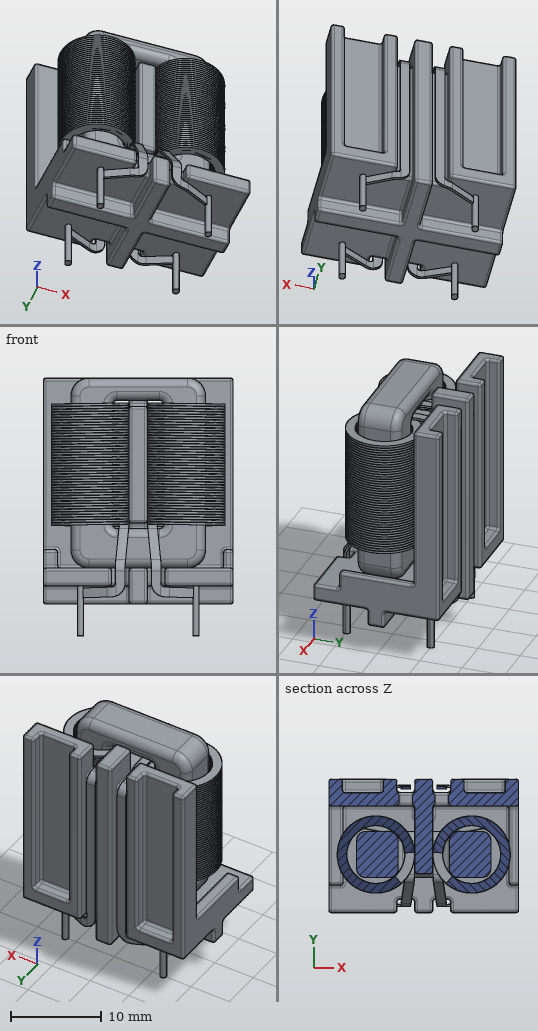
import cadquery as cq
import math


WIDTH = 21.0
DEPTH = 14.8
BODY_HEIGHT = 25.0
EDGE_RADIUS = 0.3

PLATE_BOTTOM = 2.0
PLATE_TOP = 4.0
RIB_WIDTH = 2.0
BACK_WALL_THICKNESS = 3.0
LEFT_WALL_THICKNESS = 1.6
RIGHT_WALL_THICKNESS = 1.05
SIDE_WALL_TOP = 6.0
SIDE_WALL_LENGTH = 11.75
SLOT_OUTER_X = 2.95
NOTCH_DEPTH = 1.48
RECESS_MARGIN = 1.5
WEB_TOP = 21.65
CENTER_BLOCK_DEPTH = 4.4
TONGUE_LENGTH = 10.5
TONGUE_BOTTOM = 8.95
TONGUE_TOP = 21.85

CORE_WIDTH = 14.88
CORE_DEPTH = 5.13
CORE_CORNER_RADIUS = 2.0
CORE_EDGE_RADIUS = 1.0
WINDOW_WIDTH = 5.65
WINDOW_BOTTOM = 8.35
WINDOW_TOP = 22.52
WINDOW_CORNER_RADIUS = 0.48
CORE_CENTER_FROM_BACK = 8.35

COIL_CENTER_X = 5.3
COIL_OUTER_RADIUS = 4.28
WIRE_WIDTH = 1.08
WIRE_THICKNESS = 0.25
TURNS = 45
HELIX_BOTTOM = 8.55
HELIX_RISE = 13.45

LEAD_X = 2.0
LEAD_INSET = 0.8
FRONT_SLOPE_TOP_FROM_BACK = 11.05
FRONT_SLOPE_BOTTOM_Z = 4.3
FRONT_TOP_BEND_RADIUS = 0.9
FRONT_LOW_BEND_RADIUS = 2.1
BACK_BEND_RADIUS = 1.0
BACK_SLANT_START_FROM_BACK = 5.27
BACK_SLANT_END_FROM_BACK = 2.8
ELBOW_RADIUS = 0.97
TAIL_Z = 1.35
TAIL_DROP = 0.1
TAIL_BEND_RADIUS = 2.15

PIN_X = 6.38
PIN_Y = 4.95
PIN_WIDTH = 0.7
PIN_DEPTH = 0.83
PIN_LENGTH_BELOW = 3.5

BACK_Y = DEPTH / 2
FRONT_Y = -DEPTH / 2
CORE_Y = BACK_Y - CORE_CENTER_FROM_BACK
COIL_MID_RADIUS = COIL_OUTER_RADIUS - WIRE_WIDTH / 2
COIL_EXIT_X = COIL_CENTER_X - COIL_MID_RADIUS
LOWER_LEAD_Z = HELIX_BOTTOM + WIRE_THICKNESS / 2
UPPER_LEAD_Z = LOWER_LEAD_Z + HELIX_RISE
ELBOW_TOP_Z = TAIL_Z + ELBOW_RADIUS


def block(x_range, y_range, z_range):
    """Box between the given low and high limits."""
    (x0, x1), (y0, y1), (z0, z1) = x_range, y_range, z_range
    return cq.Workplane("XY").box(x1 - x0, y1 - y0, z1 - z0, centered=False).translate((x0, y0, z0))


def mould_carrier():
    """Plate with cross-shaped foot bars, slotted back wall, side walls and centre tongue."""
    half_width = WIDTH / 2
    half_rib = RIB_WIDTH / 2
    full_x = (-half_width, half_width)
    rib_x = (-half_rib, half_rib)
    full_y = (FRONT_Y, BACK_Y)
    wall_y = (BACK_Y - BACK_WALL_THICKNESS, BACK_Y)

    body = block(full_x, full_y, (PLATE_BOTTOM, PLATE_TOP))
    body = body.union(block(full_x, rib_x, (0, PLATE_BOTTOM)))
    body = body.union(block(rib_x, full_y, (0, PLATE_BOTTOM)))
    body = body.union(block(rib_x, (BACK_Y - CENTER_BLOCK_DEPTH, BACK_Y), (PLATE_TOP, BODY_HEIGHT)))
    body = body.union(block(rib_x, (BACK_Y - TONGUE_LENGTH, BACK_Y), (TONGUE_BOTTOM, TONGUE_TOP)))

    web_y = (BACK_Y - BACK_WALL_THICKNESS, BACK_Y - NOTCH_DEPTH)
    body = body.union(block((-SLOT_OUTER_X, SLOT_OUTER_X), web_y, (PLATE_TOP, WEB_TOP)))

    for side, side_thickness in ((-1, LEFT_WALL_THICKNESS), (1, RIGHT_WALL_THICKNESS)):
        outer_x = side * half_width
        wall_x = sorted((outer_x, side * SLOT_OUTER_X))
        side_wall_x = sorted((outer_x, outer_x - side * side_thickness))
        recess_x = sorted((outer_x - side * RECESS_MARGIN, side * (SLOT_OUTER_X + RECESS_MARGIN)))
        notch_x = sorted((side * half_rib, side * SLOT_OUTER_X))

        body = body.union(block(wall_x, wall_y, (PLATE_TOP, BODY_HEIGHT)))
        body = body.union(block(side_wall_x, (BACK_Y - SIDE_WALL_LENGTH, BACK_Y), (PLATE_TOP, SIDE_WALL_TOP)))
        body = body.cut(block(recess_x, (BACK_Y - RECESS_MARGIN, BACK_Y), (PLATE_TOP, BODY_HEIGHT)))
        for notch_y in ((FRONT_Y, FRONT_Y + NOTCH_DEPTH), (BACK_Y - NOTCH_DEPTH, BACK_Y)):
            body = body.cut(block(notch_x, notch_y, (PLATE_BOTTOM, PLATE_TOP)))

    return body.clean().edges().fillet(EDGE_RADIUS)


def ring_core():
    """Upright rectangular ring with rounded corners and edges, standing on the plate."""
    height = BODY_HEIGHT - PLATE_TOP
    window_height = WINDOW_TOP - WINDOW_BOTTOM
    ring = (
        cq.Workplane("XY")
        .box(CORE_WIDTH, CORE_DEPTH, height)
        .edges("|Y")
        .fillet(CORE_CORNER_RADIUS)
        .translate((0, CORE_Y, PLATE_TOP + height / 2))
    )
    window = (
        cq.Workplane("XY")
        .box(WINDOW_WIDTH, 2 * CORE_DEPTH, window_height)
        .edges("|Y")
        .fillet(WINDOW_CORNER_RADIUS)
        .translate((0, CORE_Y, WINDOW_BOTTOM + window_height / 2))
    )
    return ring.cut(window).faces("<Y or >Y").edges().fillet(CORE_EDGE_RADIUS)


def coil():
    """Edgewise helix of flat wire whose two ends both lie on the side nearest the part's centre."""
    helix = cq.Wire.makeHelix(HELIX_RISE / TURNS, HELIX_RISE, COIL_MID_RADIUS)
    turns = (
        cq.Workplane("XZ")
        .center(COIL_MID_RADIUS, 0)
        .rect(WIRE_WIDTH, WIRE_THICKNESS)
        .sweep(cq.Workplane(helix), isFrenet=True)
    )
    return turns.mirror("YZ").translate((COIL_CENTER_X, CORE_Y, LOWER_LEAD_Z))


def bent_path(plane, points, radii):
    """Path through the points of a plane, with each inner corner rounded by its radius."""
    path = cq.Workplane(plane).moveTo(*points[0])
    for before, corner, after, radius in zip(points, points[1:], points[2:], radii):
        corner = cq.Vector(*corner)
        to_before = (cq.Vector(*before) - corner).normalized()
        to_after = (cq.Vector(*after) - corner).normalized()
        half_angle = to_before.getAngle(to_after) / 2
        tangent_length = radius / math.tan(half_angle)
        bisector = (to_before + to_after).normalized()
        bend_start = corner + to_before * tangent_length
        bend_middle = corner + bisector * (radius / math.sin(half_angle) - radius)
        bend_end = corner + to_after * tangent_length
        path = path.lineTo(bend_start.x, bend_start.y)
        path = path.threePointArc((bend_middle.x, bend_middle.y), (bend_end.x, bend_end.y))
    return path.lineTo(*points[-1])


def bent_sheet(points, radii):
    """Sheet of wire thickness bent along a (y, z) path, wider in X than the lead cut from it."""
    start_y, start_z = points[0]
    section = cq.Workplane("XZ", origin=(LEAD_X, start_y, start_z)).rect(2 * LEAD_X, WIRE_THICKNESS)
    return section.sweep(bent_path("YZ", points, radii))


def jogged_strip(plane, start, jog_start, jog_end, end):
    """Strip of wire width stepping from the coil exit to the lead run, between positions along a plane."""
    half = WIRE_WIDTH / 2
    outline = [
        (COIL_EXIT_X - half, start),
        (COIL_EXIT_X - half, jog_start),
        (LEAD_X - half, jog_end),
        (LEAD_X - half, end),
        (LEAD_X + half, end),
        (LEAD_X + half, jog_end),
        (COIL_EXIT_X + half, jog_start),
        (COIL_EXIT_X + half, start),
    ]
    return cq.Workplane(plane).polyline(outline).close().extrude(BODY_HEIGHT, both=True)


def front_lead():
    """Wire from the lower coil end: forward, sloping down and outward, then down through the notch."""
    slope_top_y = BACK_Y - FRONT_SLOPE_TOP_FROM_BACK
    lead_y = FRONT_Y + LEAD_INSET
    path = [
        (CORE_Y, LOWER_LEAD_Z),
        (slope_top_y, LOWER_LEAD_Z),
        (lead_y, FRONT_SLOPE_BOTTOM_Z),
        (lead_y, ELBOW_TOP_Z),
    ]
    sheet = bent_sheet(path, [FRONT_TOP_BEND_RADIUS, FRONT_LOW_BEND_RADIUS])
    strip = jogged_strip("XZ", UPPER_LEAD_Z, LOWER_LEAD_Z, FRONT_SLOPE_BOTTOM_Z, 0)
    return sheet.intersect(strip)


def back_lead():
    """Wire from the upper coil end: back and outward through the wall slot, then straight down."""
    lead_y = BACK_Y - LEAD_INSET
    path = [(CORE_Y, UPPER_LEAD_Z), (lead_y, UPPER_LEAD_Z), (lead_y, ELBOW_TOP_Z)]
    sheet = bent_sheet(path, [BACK_BEND_RADIUS])
    jog_start_y = BACK_Y - BACK_SLANT_START_FROM_BACK
    jog_end_y = BACK_Y - BACK_SLANT_END_FROM_BACK
    strip = jogged_strip("XY", FRONT_Y, jog_start_y, jog_end_y, BACK_Y)
    return sheet.intersect(strip)


def terminal(side):
    """Edgewise elbow, tail and pin that end a lead at the front (side -1) or back (side 1)."""
    lead_y = side * (BACK_Y - LEAD_INSET)
    pin_y = side * PIN_Y
    half = WIRE_WIDTH / 2
    bend_x = LEAD_X + ELBOW_RADIUS
    plan_points = [
        (LEAD_X - half, lead_y),
        (bend_x, lead_y),
        (PIN_X, pin_y),
    ]
    sheet = (
        cq.Workplane("YZ", origin=(LEAD_X - half, lead_y, 0))
        .rect(WIRE_THICKNESS, 2 * PLATE_TOP)
        .sweep(bent_path("XY", plan_points, [TAIL_BEND_RADIUS]))
    )
    outer_reach = (ELBOW_RADIUS + half) * math.sqrt(0.5)
    inner_reach = (ELBOW_RADIUS - half) * math.sqrt(0.5)
    tail_end_z = TAIL_Z - TAIL_DROP
    elbow_and_tail = (
        cq.Workplane("XZ")
        .moveTo(LEAD_X - half, ELBOW_TOP_Z)
        .threePointArc((bend_x - outer_reach, ELBOW_TOP_Z - outer_reach), (bend_x, TAIL_Z - half))
        .lineTo(PIN_X, tail_end_z - half)
        .lineTo(PIN_X, tail_end_z + half)
        .lineTo(bend_x, TAIL_Z + half)
        .threePointArc((bend_x - inner_reach, ELBOW_TOP_Z - inner_reach), (LEAD_X + half, ELBOW_TOP_Z))
        .close()
        .extrude(DEPTH, both=True)
    )
    pin = (
        cq.Workplane("XY", origin=(PIN_X, pin_y, -PIN_LENGTH_BELOW))
        .slot2D(PIN_DEPTH, PIN_WIDTH, 90)
        .extrude(PIN_LENGTH_BELOW + PLATE_BOTTOM)
    )
    return sheet.intersect(elbow_and_tail).union(pin)


def right_winding():
    """Coil at +X with both leads and both pins, as one solid."""
    front_end = front_lead().union(terminal(-1))
    back_end = back_lead().union(terminal(1))
    return coil().union(front_end.union(back_end), glue=True)


carrier = mould_carrier().union(ring_core())
winding_right = right_winding()
winding_left = winding_right.mirror("YZ")

result = cq.Compound.makeCompound(
    [carrier.solids().val(), winding_right.solids().val(), winding_left.solids().val()]
)